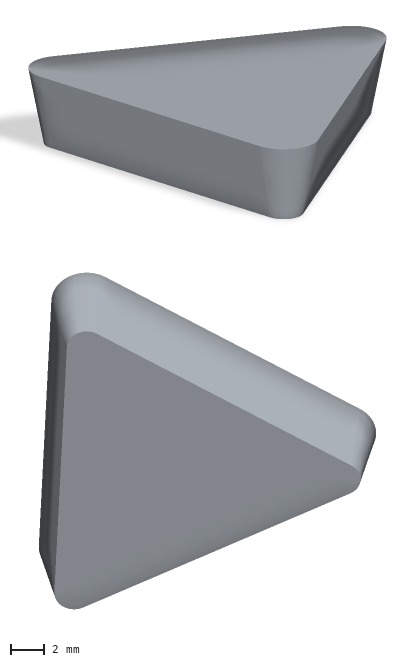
import cadquery as cq
import math

width = 22.1
thickness = 4.75
corner_radius = 2.1
clearance_angle = 11.0

corner_spacing = width - 2 * corner_radius
center_to_corner = corner_spacing / math.sqrt(3)
corner_angles = (90, 210, 330)
half_corner_arc = 60


def polar(distance, angle):
    """X, Y offset at a distance and an angle in degrees from +X."""
    radians = math.radians(angle)
    return cq.Vector(distance * math.cos(radians), distance * math.sin(radians))


def rounded_triangle(radius, height):
    """Triangle outline whose corners are arcs of the given radius."""
    arcs = []
    for angle in corner_angles:
        center = polar(center_to_corner, angle)
        turns = (-half_corner_arc, 0, half_corner_arc)
        arcs.append([(center + polar(radius, angle + turn)).toTuple()[:2] for turn in turns])

    outline = cq.Workplane("XY").workplane(offset=height).moveTo(*arcs[0][0])
    for start, middle, end in arcs:
        if start != arcs[0][0]:
            outline = outline.lineTo(*start)
        outline = outline.threePointArc(middle, end)
    return outline.close().val()


base_radius = corner_radius - thickness * math.tan(math.radians(clearance_angle))
base_outline = rounded_triangle(base_radius, 0)
top_outline = rounded_triangle(corner_radius, thickness)
insert = cq.Solid.makeLoft([base_outline, top_outline], True)

result = cq.Workplane("XY").newObject([insert])